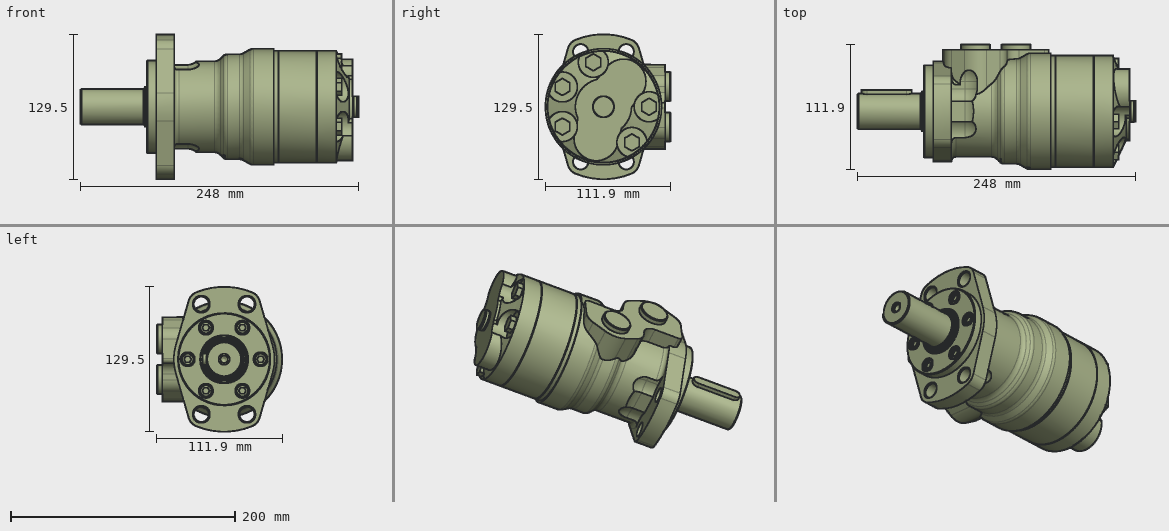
import cadquery as cq
import math


PILOT_FRONT = 59.0
FLANGE_FRONT = 67.5
FLANGE_BACK = 83.9
HOUSING_END = 172.5
SPACER_END = 176.6
RING_END = 211.0
COVER_RIM_END = 228.0
COVER_END = 242.6
MOTOR_END = 248.0

SHAFT_D = 32.0
SHAFT_CHAMFER = 1.0
COLLAR_D = 35.7
CONE_START = 56.0
COLLAR_START = 57.3
CONE_END_D = 33.2
COLLAR_CHAMFER = 0.37
CENTRE_RECESS_D = 10.0
CENTRE_RECESS_DEPTH = 2.0
CENTRE_CONE_D = 6.7
CENTRE_CONE_DEPTH = 2.5
KEY_START = 3.5
KEY_LENGTH = 45.2
KEY_WIDTH = 10.0
KEY_TOP = 19.0
KEY_HEIGHT = 8.0

PILOT_D = 82.5
PILOT_CHAMFER = 0.7
SEAL_RECESS_D = 41.7
SEAL_RECESS_DEPTH = 1.5
SEAL_RECESS_CHAMFER = 0.7
SEAL_LAND_D = 38.7
FLANGE_HEIGHT = 129.5
FLANGE_WIDTH = 89.8
FLANGE_SIDE_ANGLE = 16
FLANGE_CORNER_R = 12.2
MOUNT_HOLE_D = 13.5
MOUNT_CHAMFER_D = 15.5
MOUNT_Y = 20.3
MOUNT_Z = 49.0
SCREW_COUNT = 6
SCREW_CIRCLE_R = 32.5
SCREW_RECESS_D = 12.0
SCREW_RECESS_MOUTH_D = 13.0
SCREW_RECESS_DEPTH = 2.0
SCREW_HEAD_D = 10.0
SCREW_HEAD_HEIGHT = 1.0
SCREW_SOCKET_D = 6.5

NECK_R = 40.7
NECK_FILLET = 4.0
NECK_END = 122.5
NECK_END_R = 7.5
WAIST_START = 128.8
WAIST_START_R = 5.0
WAIST_END = 143.6
WAIST_END_R = 7.5
BARREL_START = 152.3
BARREL_START_R = 6.0
WAIST_R = 47.0
BARREL_R = 51.9
RELIEF_R = 16.1
RELIEF_END = 95.5
RELIEF_FLAT_Z = 37.5
PORT_RELIEF_STRETCH = 6.7

BLOCK_TOP = 55.0
BLOCK_CENTRE_X = 123.3
PORT_DX = 18.0
PORT_Z = 18.0
PORT_D = 26.0
PORT_TOP = 60.0
PORT_CHAMFER = 0.7
LOBE_R = 19.5
LOBE_SHOULDER_WIDTH = 55.0
LOBE_SLOPE = 30
LOBE_WALL_LEAN = 4
LOBE_SHOULDER_R = 12.7
LOBE_FOOT_Z = 3.5
LOBE_FOOT_R = 4.0
LOBE_VALLEY_R = 10.2

RING_D = 100.0
JOINT_CHAMFER = 0.37
CONE_END = 240.0
HUB_R = 25.0
BOSS_R = 19.8
BOSS_CIRCLE_R = 29.0
BOLT_PLACES = 7
BOSS_PLACES = (1, 5)
BOLT_CIRCLE_R = 40.7
BOLT_HEX_D = 15.1
BOLT_HEAD_HEIGHT = 5.0
BOLT_POCKET_D = 26.8
PLUG_NECK_D = 18.0
PLUG_D = 19.0
PLUG_TIP_D = 18.5
PLUG_NECK_END = 244.0
PLUG_RIM_END = 246.5


def rounded_outline(plane, corners):
    """Closed outline through (a, b, radius) corners, each rounded by an arc of its radius."""
    outline = cq.Workplane(plane)
    for i, (a, b, radius) in enumerate(corners):
        before = corners[i - 1]
        after = corners[(i + 1) % len(corners)]
        if radius == 0:
            outline = outline.moveTo(a, b) if i == 0 else outline.lineTo(a, b)
            continue
        here = cq.Vector(a, b)
        to_before = (cq.Vector(before[0], before[1]) - here).normalized()
        to_after = (cq.Vector(after[0], after[1]) - here).normalized()
        half_angle = to_before.getAngle(to_after) / 2
        tangent_length = radius / math.tan(half_angle)
        bisector = (to_before + to_after).normalized()
        start = here + to_before * tangent_length
        middle = here + bisector * (radius / math.sin(half_angle) - radius)
        end = here + to_after * tangent_length
        outline = outline.moveTo(start.x, start.y) if i == 0 else outline.lineTo(start.x, start.y)
        outline = outline.threePointArc((middle.x, middle.y), (end.x, end.y))
    return outline.close()


def turned(corners):
    """Solid turned about the X axis from (x, radius, corner rounding) corners."""
    return rounded_outline("XY", corners).revolve(360, (0, 0), (1, 0))


def disc(x, diameter, length):
    """Cylinder along +X on the motor axis."""
    return cq.Workplane("YZ", origin=(x, 0, 0)).circle(diameter / 2).extrude(length)


def polar(radius, degrees):
    """Point (y, z) at a radius and an angle turned from +Y toward +Z."""
    angle = math.radians(degrees)
    return (radius * math.cos(angle), radius * math.sin(angle))


def key_blank():
    return (
        cq.Workplane("XZ", origin=(KEY_START + KEY_LENGTH / 2, KEY_TOP, 0))
        .slot2D(KEY_LENGTH, KEY_WIDTH)
        .extrude(KEY_HEIGHT)
    )


def centre_hole():
    cone_start = CENTRE_RECESS_DEPTH
    cone_end = cone_start + CENTRE_CONE_DEPTH
    return turned([
        (0, 0, 0),
        (0, CENTRE_RECESS_D / 2, 0),
        (cone_start, CENTRE_RECESS_D / 2, 0),
        (cone_start, CENTRE_CONE_D / 2, 0),
        (cone_end, 0, 0),
    ])


def make_shaft():
    blank = turned([
        (0, 0, 0),
        (0, SHAFT_D / 2 - SHAFT_CHAMFER, 0),
        (SHAFT_CHAMFER, SHAFT_D / 2, 0),
        (CONE_START, SHAFT_D / 2, 0),
        (COLLAR_START, CONE_END_D / 2, 0),
        (COLLAR_START, COLLAR_D / 2 - COLLAR_CHAMFER, 0),
        (COLLAR_START + COLLAR_CHAMFER, COLLAR_D / 2, 0),
        (FLANGE_BACK, COLLAR_D / 2, 0),
        (FLANGE_BACK, 0, 0),
    ])
    return blank.cut(centre_hole()).cut(key_blank())


def flange():
    half_height = FLANGE_HEIGHT / 2
    half_width = FLANGE_WIDTH / 2
    angle = math.radians(FLANGE_SIDE_ANGLE)
    thickness = FLANGE_BACK - FLANGE_FRONT
    tangent_y = half_width * math.cos(angle)
    tangent_z = half_width * math.sin(angle)
    end_y = tangent_y - (half_height - tangent_z) * math.tan(angle)
    plate = (
        cq.Workplane("YZ", origin=(FLANGE_FRONT, 0, 0))
        .moveTo(tangent_y, -tangent_z)
        .threePointArc((half_width, 0), (tangent_y, tangent_z))
        .lineTo(end_y, half_height)
        .lineTo(-end_y, half_height)
        .lineTo(-tangent_y, tangent_z)
        .threePointArc((-half_width, 0), (-tangent_y, -tangent_z))
        .lineTo(-end_y, -half_height)
        .lineTo(end_y, -half_height)
        .close()
        .extrude(thickness)
    )
    rounded = plate.intersect(disc(FLANGE_FRONT, FLANGE_HEIGHT, thickness))
    return rounded.edges("|X").edges(">Z or <Z").fillet(FLANGE_CORNER_R)


def mount_places():
    return [(side_y * MOUNT_Y, side_z * MOUNT_Z) for side_y in (-1, 1) for side_z in (-1, 1)]


def housing_body():
    return turned([
        (PILOT_FRONT, 0, 0),
        (PILOT_FRONT, PILOT_D / 2 - PILOT_CHAMFER, 0),
        (PILOT_FRONT + PILOT_CHAMFER, PILOT_D / 2, 0),
        (FLANGE_FRONT, PILOT_D / 2, 0),
        (FLANGE_FRONT, FLANGE_WIDTH / 2, 0),
        (FLANGE_BACK, FLANGE_WIDTH / 2, 0),
        (FLANGE_BACK, NECK_R, NECK_FILLET),
        (NECK_END, NECK_R, NECK_END_R),
        (WAIST_START, WAIST_R, WAIST_START_R),
        (WAIST_END, WAIST_R, WAIST_END_R),
        (BARREL_START, BARREL_R, BARREL_START_R),
        (HOUSING_END, BARREL_R, 0),
        (HOUSING_END, 0, 0),
    ])


def port_block():
    """Block with one rounded lobe per port; each lobe is the other one turned half a turn."""
    slope = math.radians(LOBE_SLOPE)
    apex_z = PORT_Z + LOBE_R / math.cos(slope)
    half_width = LOBE_SHOULDER_WIDTH / 2
    shoulder_z = apex_z - half_width * math.tan(slope)
    lean = math.tan(math.radians(LOBE_WALL_LEAN))
    outer_foot = half_width + (shoulder_z + LOBE_FOOT_Z) * lean
    inner_foot = half_width + (shoulder_z - LOBE_FOOT_Z) * lean
    lobe = [
        (-PORT_DX - outer_foot, -LOBE_FOOT_Z, LOBE_FOOT_R),
        (-PORT_DX - half_width, shoulder_z, LOBE_SHOULDER_R),
        (-PORT_DX, apex_z, LOBE_R),
        (-PORT_DX + half_width, shoulder_z, LOBE_SHOULDER_R),
        (-PORT_DX + inner_foot, LOBE_FOOT_Z, LOBE_VALLEY_R),
    ]
    corners = lobe + [(-x, -z, radius) for x, z, radius in lobe]
    plane = cq.Plane(origin=(BLOCK_CENTRE_X, 0, 0), xDir=(1, 0, 0), normal=(0, -1, 0))
    return rounded_outline(plane, corners).extrude(-BLOCK_TOP)


def port_rims():
    rims = cq.Workplane("XZ", origin=(BLOCK_CENTRE_X, BLOCK_TOP, 0))
    rims = rims.pushPoints([(-PORT_DX, PORT_Z), (PORT_DX, -PORT_Z)]).circle(PORT_D / 2)
    return rims.extrude(BLOCK_TOP - PORT_TOP).faces(">Y").chamfer(PORT_CHAMFER)


def scoop_profile(plane, radius):
    """Half of a round-ended slot from the flange back, on one side of its middle line."""
    return (
        cq.Workplane(plane)
        .moveTo(FLANGE_BACK, 0)
        .lineTo(FLANGE_BACK, radius)
        .lineTo(RELIEF_END, radius)
        .radiusArc((RELIEF_END + radius, 0), radius)
        .close()
    )


def straight_relief(y_start, y_end, side, radius):
    """Round-ended relief across Y, above (side 1) or below (side -1) the neck."""
    half = scoop_profile("XZ", radius).extrude(y_start - y_end)
    whole = half.union(half.mirror("XY"))
    return whole.translate((0, y_start, side * MOUNT_Z))


def nut_reliefs():
    """Ball-ended scoops behind the mounting holes, stretched along Y on the port side.

    A flat joins the two scoops above the neck, and another the two below it.
    """
    scoop = scoop_profile("XY", RELIEF_R).revolve(360, (0, 0), (1, 0))
    stretched_y = MOUNT_Y + PORT_RELIEF_STRETCH
    flat_radius = MOUNT_Z - RELIEF_FLAT_Z
    half_flat = MOUNT_Y - math.sqrt(RELIEF_R**2 - flat_radius**2)
    cutters = []
    for side in (-1, 1):
        for y in (-MOUNT_Y, MOUNT_Y, stretched_y):
            cutters.append(scoop.translate((0, y, side * MOUNT_Z)))
        cutters.append(straight_relief(MOUNT_Y, stretched_y, side, RELIEF_R))
        cutters.append(straight_relief(-half_flat, half_flat, side, flat_radius))
    return cutters


def chamfered_hole(x, place, diameter, mouth_diameter, depth):
    """Tool for a hole along +X whose mouth at x is chamfered out to the mouth diameter."""
    chamfer = (mouth_diameter - diameter) / 2
    hole = cq.Workplane("YZ", origin=(x, *place)).circle(diameter / 2).extrude(depth)
    mouth = cq.Solid.makeCone(
        mouth_diameter / 2, diameter / 2, chamfer, cq.Vector(x, *place), cq.Vector(1, 0, 0)
    )
    return hole.union(cq.Workplane(mouth))


def screw_recess(place):
    """Recess around a socket-head screw whose head stands on its floor."""
    recess = chamfered_hole(PILOT_FRONT, place, SCREW_RECESS_D, SCREW_RECESS_MOUTH_D, SCREW_RECESS_DEPTH)
    floor = cq.Workplane("YZ", origin=(PILOT_FRONT + SCREW_RECESS_DEPTH, *place))
    head = floor.circle(SCREW_HEAD_D / 2).polygon(6, SCREW_SOCKET_D).extrude(-SCREW_HEAD_HEIGHT)
    return recess.cut(head)


def seal_recess():
    """Ring groove around the land that surrounds the shaft collar."""
    recess_r = SEAL_RECESS_D / 2
    land_r = SEAL_LAND_D / 2
    return turned([
        (PILOT_FRONT, land_r, 0),
        (PILOT_FRONT, recess_r + SEAL_RECESS_CHAMFER, 0),
        (PILOT_FRONT + SEAL_RECESS_CHAMFER, recess_r, 0),
        (PILOT_FRONT + SEAL_RECESS_DEPTH, recess_r, 0),
        (PILOT_FRONT + SEAL_RECESS_DEPTH, land_r, 0),
    ])


def make_housing():
    body = housing_body().union(flange()).union(port_block())
    for relief in nut_reliefs():
        body = body.cut(relief)
    body = body.union(port_rims())
    flange_thickness = FLANGE_BACK - FLANGE_FRONT
    for place in mount_places():
        body = body.cut(
            chamfered_hole(FLANGE_FRONT, place, MOUNT_HOLE_D, MOUNT_CHAMFER_D, flange_thickness)
        )
    for i in range(SCREW_COUNT):
        body = body.cut(screw_recess(polar(SCREW_CIRCLE_R, i * 360 / SCREW_COUNT)))
    shaft_bore = disc(PILOT_FRONT, COLLAR_D, FLANGE_BACK - PILOT_FRONT)
    return body.cut(seal_recess()).cut(shaft_bore)


def make_cover():
    """End cover with a conical back, bosses at some bolt places and bolt heads in pockets at the rest."""
    body = turned([
        (RING_END, 0, 0),
        (RING_END, RING_D / 2 - JOINT_CHAMFER, 0),
        (RING_END + JOINT_CHAMFER, RING_D / 2, 0),
        (COVER_RIM_END, RING_D / 2, 0),
        (CONE_END, HUB_R, 0),
        (COVER_END, HUB_R, 0),
        (COVER_END, 0, 0),
    ])
    pitch = 360 / BOLT_PLACES
    for place in BOSS_PLACES:
        body = body.union(cover_boss(place * pitch))
    for place in range(BOLT_PLACES):
        if place in BOSS_PLACES:
            continue
        centre = polar(BOLT_CIRCLE_R, place * pitch)
        spot = cq.Workplane("YZ", origin=(COVER_RIM_END, *centre))
        body = body.cut(spot.circle(BOLT_POCKET_D / 2).extrude(COVER_END - COVER_RIM_END))
        head = spot.transformed((0, 0, 90)).polygon(6, BOLT_HEX_D).extrude(BOLT_HEAD_HEIGHT)
        body = body.union(head)
    return body.union(drain_plug())


def cover_boss(degrees):
    """Round boss joined to the hub by straight sides."""
    length = COVER_END - COVER_RIM_END
    web = (
        cq.Workplane("YZ", origin=(COVER_RIM_END, 0, 0))
        .center(BOSS_CIRCLE_R / 2, 0)
        .rect(BOSS_CIRCLE_R, 2 * BOSS_R)
        .extrude(length)
    )
    end = cq.Workplane("YZ", origin=(COVER_RIM_END, BOSS_CIRCLE_R, 0)).circle(BOSS_R).extrude(length)
    return web.union(end).rotate((0, 0, 0), (1, 0, 0), degrees)


def drain_plug():
    neck = disc(COVER_END, PLUG_NECK_D, PLUG_NECK_END - COVER_END)
    rim = disc(PLUG_NECK_END, PLUG_D, PLUG_RIM_END - PLUG_NECK_END)
    tip = disc(PLUG_RIM_END, PLUG_TIP_D, MOTOR_END - PLUG_RIM_END)
    return neck.union(rim).union(tip)


shaft = make_shaft()
key = key_blank()
housing = make_housing()
spacer_plate = disc(HOUSING_END, RING_D, SPACER_END - HOUSING_END).faces(">X").chamfer(JOINT_CHAMFER)
gear_ring = disc(SPACER_END, RING_D, RING_END - SPACER_END).faces("<X or >X").chamfer(JOINT_CHAMFER)
cover = make_cover()

result = cq.Compound.makeCompound(
    [body.val() for body in (shaft, key, housing, spacer_plate, gear_ring, cover)]
)